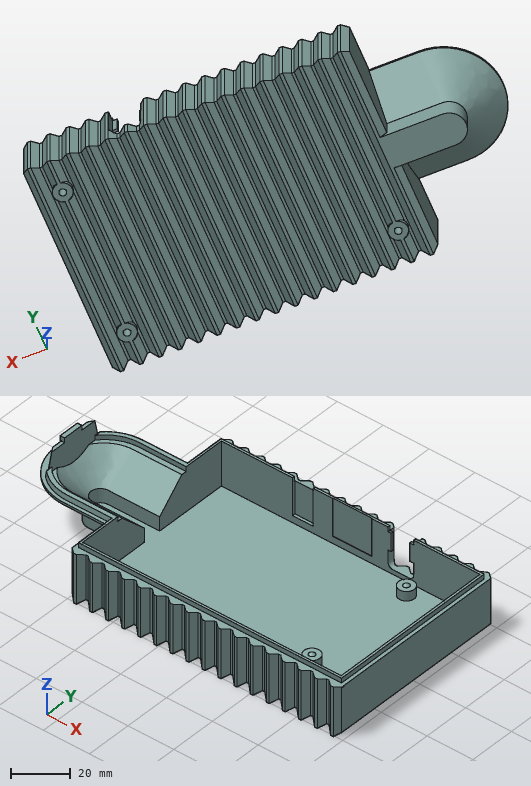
import cadquery as cq

FLOOR_Z = 4.0
RIM_Z = 21.0
LIP_Z = 23.0

BODY_X0 = 39.5
BODY_X1 = 157.25
BODY_HALF_WIDTH = 38.5
LIP_INSET = 1.5
CAVITY_INSET = 2.5

RIDGE_PITCH = 7.0
RIDGE_COUNT = 17
RIDGE_HEIGHT = 2.0
RIDGE_CREST = 1.2
RIDGE_VALLEY = 1.0
FIRST_RIDGE_X = BODY_X0 + (RIDGE_PITCH - RIDGE_VALLEY) / 2

NIB_LENGTH = 0.25
NIB_WIDTH = 0.8
NIB_THICKNESS = 0.1

TAIL_CENTER_X = 21.5
TAIL_RADIUS = 21.5
TAIL_LIP_RADIUS = TAIL_RADIUS - LIP_INSET
TAIL_LIP_TAPER = 0.4
TAIL_LIP_TOP_RADIUS = TAIL_LIP_RADIUS - TAIL_LIP_TAPER
TAIL_LIP_INNER_RADIUS = 17.75
FLANGE_THICKNESS = 1.0
KEEL_CENTER_X = 19.5
KEEL_RADIUS = 6.1
KEEL_TOP_Z = 9.0
POCKET_CENTER_X = 20.85
POCKET_TOP_RADIUS = 15.5
POCKET_CHANNEL_RADIUS = 4.0
POCKET_CHANNEL_TOP_Z = KEEL_TOP_Z + FLANGE_THICKNESS

LATCH_X0 = 6.2
LATCH_X1 = 7.7
LATCH_BASE_RADIUS = 19.0
LATCH_TOP_RADIUS = 17.75
LATCH_TOP_Z = 29.25
NUB_X0 = 5.7
NUB_WIDTH = 9.0
NUB_TOP_Z = 31.25

SCREW_POINTS = [(49.5, -28.0), (147.5, -28.0), (147.5, 28.0)]
SCREW_BOSS_DIAMETER = 10.0
SCREW_BOSS_HEIGHT = 2.0
SCREW_PAD_DIAMETER = 7.0
SCREW_HOLE_DIAMETER = 2.6
STANDOFF_POINTS = [(127.4, -18.6), (127.4, 30.4)]
STANDOFF_DIAMETER = 6.8
STANDOFF_HEIGHT = 4.0
PEG_DIAMETER = 2.6
PEG_HEIGHT = 1.0

CUTOUT_FLOOR_Z = 7.0
DEEP_RECESS = (73.0, 82.0, 1.25)
SHALLOW_RECESS = (90.4, 107.5, 0.2)
NOTCH_X0 = 116.0
NOTCH_X1 = 124.1
NOTCH_FLOOR_Z = 6.0
NOTCH_WIDE_X0 = 114.7
NOTCH_WIDE_X1 = 125.8
NOTCH_WIDE_TOP_Z = 13.2
NOTCH_CORNER_RADIUS = 2.0


def block(x0, x1, y0, y1, z0, z1):
    """An axis-aligned box between two opposite corners."""
    return cq.Workplane("XY").box(x1 - x0, y1 - y0, z1 - z0, centered=False).translate((x0, y0, z0))


def tongue(center_x, radius, end_x, z):
    """A closed round-ended outline at height z, from its -X tip to a straight edge at end_x."""
    return (
        cq.Workplane("XY", origin=(0, 0, z))
        .moveTo(end_x, -radius)
        .lineTo(center_x, -radius)
        .threePointArc((center_x - radius, 0), (center_x, radius))
        .lineTo(end_x, radius)
        .close()
    )


def tongue_prism(center_x, radius, end_x, z0, z1):
    return tongue(center_x, radius, end_x, z0).extrude(z1 - z0)


def tongue_taper(bottom, top, end_x):
    """A solid between two tongue outlines, each given as (center_x, radius, z)."""
    wires = []
    for center_x, radius, z in (bottom, top):
        wires.append(tongue(center_x, radius, end_x, z).wire().val())
    return cq.Workplane(cq.Solid.makeLoft(wires, True))


def body_prism(inset, z0, z1):
    """The body rectangle, moved inwards by inset, between two heights."""
    half_width = BODY_HALF_WIDTH - inset
    return block(BODY_X0 + inset, BODY_X1 - inset, -half_width, half_width, z0, z1)


def ridge_line(valley, crest):
    """Points of the ridged line along +X, between the levels valley and crest."""
    half_crest = RIDGE_CREST / 2
    half_foot = (RIDGE_PITCH - RIDGE_VALLEY) / 2
    points = []
    for index in range(RIDGE_COUNT):
        x = FIRST_RIDGE_X + index * RIDGE_PITCH
        points += [(x - half_foot, valley), (x - half_crest, crest)]
        points += [(x + half_crest, crest), (x + half_foot, valley)]
    return points


def ridged_body():
    crest_y = BODY_HALF_WIDTH + RIDGE_HEIGHT
    near_side = ridge_line(-BODY_HALF_WIDTH, -crest_y)
    far_side = ridge_line(BODY_HALF_WIDTH, crest_y)
    plan = cq.Workplane("XY").polyline(near_side + far_side[::-1]).close().extrude(RIM_Z)
    underside = ridge_line(RIDGE_HEIGHT, 0)
    profile = underside + [(underside[-1][0], RIM_Z), (underside[0][0], RIM_Z)]
    side = cq.Workplane("XZ").polyline(profile).close().extrude(crest_y, both=True)
    trim = block(BODY_X0, BODY_X1, -crest_y, crest_y, 0, RIM_Z)
    return plan.intersect(side).intersect(trim)


def corner_nib():
    """A thin tip of the last ridge flank, left at the +X, -Y corner of the rim."""
    y0 = -BODY_HALF_WIDTH
    z0 = RIM_Z - NIB_THICKNESS
    return block(BODY_X1, BODY_X1 + NIB_LENGTH, y0, y0 + NIB_WIDTH, z0, RIM_Z)


def tail_shell():
    flange_z = RIM_Z - FLANGE_THICKNESS
    end_x = BODY_X0 + CAVITY_INSET
    flange = tongue_prism(TAIL_CENTER_X, TAIL_RADIUS, end_x, flange_z, RIM_Z)
    hull_bottom = (KEEL_CENTER_X, KEEL_RADIUS, KEEL_TOP_Z)
    hull_top = (TAIL_CENTER_X, TAIL_RADIUS, flange_z)
    hull = tongue_taper(hull_bottom, hull_top, end_x)
    keel = tongue_prism(KEEL_CENTER_X, KEEL_RADIUS, end_x, 0, KEEL_TOP_Z)
    return flange.union(hull).union(keel)


def lip():
    """The raised lip around the body and the tail, stopped behind the latch."""
    body_lip = body_prism(LIP_INSET, RIM_Z, LIP_Z)
    end_x = BODY_X0 + CAVITY_INSET
    tail_lip = tongue_taper(
        (TAIL_CENTER_X, TAIL_LIP_RADIUS, RIM_Z), (TAIL_CENTER_X, TAIL_LIP_TOP_RADIUS, LIP_Z), end_x
    )
    tip = block(0, LATCH_X1, -TAIL_RADIUS, TAIL_RADIUS, RIM_Z, LIP_Z)
    return body_lip.union(tail_lip.cut(tip))


def cavity():
    """The inside of the body and the funnel-shaped pocket of the tail, which stops behind the latch."""
    end_x = BODY_X0 + CAVITY_INSET
    room = body_prism(CAVITY_INSET, FLOOR_Z, LIP_Z)
    opening = tongue_prism(TAIL_CENTER_X, TAIL_LIP_INNER_RADIUS, end_x, RIM_Z, LIP_Z)
    funnel = tongue_taper(
        (KEEL_CENTER_X, POCKET_CHANNEL_RADIUS, POCKET_CHANNEL_TOP_Z),
        (POCKET_CENTER_X, POCKET_TOP_RADIUS, RIM_Z),
        end_x,
    )
    tip = block(0, LATCH_X1, -TAIL_RADIUS, TAIL_RADIUS, POCKET_CHANNEL_TOP_Z, LIP_Z)
    tail_pocket = funnel.union(opening).cut(tip)
    channel = tongue_prism(KEEL_CENTER_X, POCKET_CHANNEL_RADIUS, end_x, FLOOR_Z, POCKET_CHANNEL_TOP_Z)
    return room.union(tail_pocket).union(channel)


def latch():
    height = LATCH_TOP_Z - RIM_Z
    base_center = cq.Vector(TAIL_CENTER_X, 0, RIM_Z)
    cone = cq.Solid.makeCone(LATCH_BASE_RADIUS, LATCH_TOP_RADIUS, height, base_center)
    plate = block(LATCH_X0, LATCH_X1, -TAIL_RADIUS, TAIL_RADIUS, RIM_Z, LATCH_TOP_Z)
    nub = block(NUB_X0, LATCH_X1, -NUB_WIDTH / 2, NUB_WIDTH / 2, LATCH_TOP_Z, NUB_TOP_Z)
    return plate.intersect(cq.Workplane(cone)).union(nub)


def posts(points, diameter, z0, z1):
    return cq.Workplane("XY", origin=(0, 0, z0)).pushPoints(points).circle(diameter / 2).extrude(z1 - z0)


def wall_recess(x0, x1, depth):
    """A recess in the inner face of the +Y wall."""
    wall_y = BODY_HALF_WIDTH - CAVITY_INSET
    return block(x0, x1, wall_y, wall_y + depth, CUTOUT_FLOOR_Z, LIP_Z)


def cable_notch():
    """An opening through the +Y wall, narrower where it passes through the upper inner skin."""
    inner_y = BODY_HALF_WIDTH - CAVITY_INSET
    skin_y = BODY_HALF_WIDTH - LIP_INSET
    crest_y = BODY_HALF_WIDTH + RIDGE_HEIGHT
    wide = block(NOTCH_WIDE_X0, NOTCH_WIDE_X1, inner_y, crest_y, NOTCH_FLOOR_Z, LIP_Z)
    wide = wide.edges("|Y and <Z").fillet(NOTCH_CORNER_RADIUS)
    slot = block(NOTCH_X0, NOTCH_X1, inner_y, skin_y, NOTCH_WIDE_TOP_Z, RIM_Z)
    skin = block(NOTCH_WIDE_X0, NOTCH_WIDE_X1, inner_y, skin_y, NOTCH_WIDE_TOP_Z, RIM_Z)
    return wide.cut(skin.cut(slot))


def standoffs():
    """Board standoffs, each topped by a low conical locating peg."""
    top_z = FLOOR_Z + STANDOFF_HEIGHT
    group = posts(STANDOFF_POINTS, STANDOFF_DIAMETER, FLOOR_Z, top_z)
    for x, y in STANDOFF_POINTS:
        peg = cq.Solid.makeCone(PEG_DIAMETER / 2, 0, PEG_HEIGHT, cq.Vector(x, y, top_z))
        group = group.union(cq.Workplane(peg))
    return group


def screw_bosses():
    top_z = FLOOR_Z + SCREW_BOSS_HEIGHT
    return posts(SCREW_POINTS, SCREW_BOSS_DIAMETER, FLOOR_Z, top_z)


def screw_holes():
    top_z = FLOOR_Z + SCREW_BOSS_HEIGHT
    return posts(SCREW_POINTS, SCREW_HOLE_DIAMETER, 0, top_z)


result = ridged_body().union(corner_nib()).union(tail_shell()).union(lip())
result = result.union(posts(SCREW_POINTS, SCREW_PAD_DIAMETER, 0, FLOOR_Z))
result = result.cut(cavity())

result = result.union(latch()).union(screw_bosses()).union(standoffs())

result = result.cut(screw_holes())
result = result.cut(wall_recess(*DEEP_RECESS)).cut(wall_recess(*SHALLOW_RECESS))
result = result.cut(cable_notch())